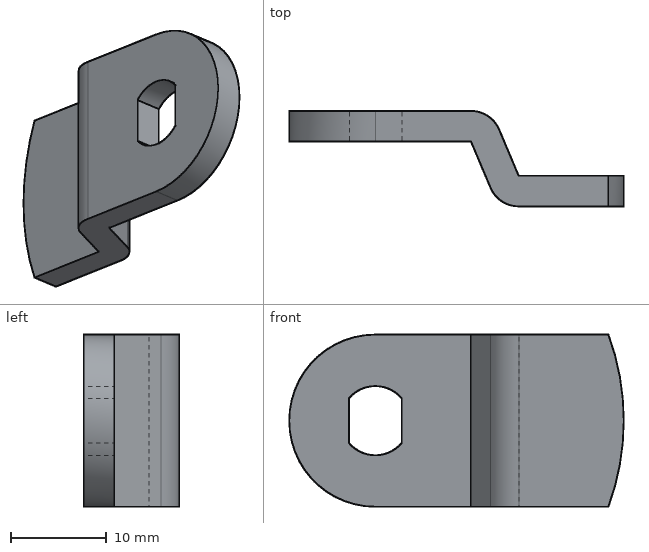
import cadquery as cq
import math

length = 34.97
depth = 10.0
width = 18.0
thickness = 3.2
rear_bend_x = 19.0
front_bend_x = 24.0
hole_diameter = 7.2
hole_flat_width = 5.5

end_radius = width / 2
pivot_x = end_radius
tip_radius = length - pivot_x
rear_inner_y = depth - thickness

corner_run = front_bend_x - rear_bend_x
corner_drop = rear_inner_y - thickness
web_tilt = math.acos(thickness / math.hypot(corner_run, corner_drop)) - math.atan2(corner_drop, corner_run)


def bend_point(angle):
    """Offset from an inside corner to its outer bend arc, at an angle from +X."""
    return thickness * math.cos(angle), thickness * math.sin(angle)


def bent_strip():
    """Z-shaped sheet profile, extruded over the full width."""
    web_x, web_y = bend_point(web_tilt)
    mid_x, mid_y = bend_point((web_tilt + math.pi / 2) / 2)
    return (
        cq.Workplane("XY")
        .workplane(offset=-width / 2)
        .moveTo(0, depth)
        .lineTo(rear_bend_x, depth)
        .threePointArc((rear_bend_x + mid_x, rear_inner_y + mid_y), (rear_bend_x + web_x, rear_inner_y + web_y))
        .lineTo(front_bend_x, thickness)
        .lineTo(length, thickness)
        .lineTo(length, 0)
        .lineTo(front_bend_x, 0)
        .threePointArc((front_bend_x - mid_x, thickness - mid_y), (front_bend_x - web_x, thickness - web_y))
        .lineTo(rear_bend_x, rear_inner_y)
        .lineTo(0, rear_inner_y)
        .close()
        .extrude(width)
    )


def face_outline():
    """Semicircular pivot end and shallow arc tip, both centred on the hole."""
    tip_edge_x = pivot_x + math.sqrt(tip_radius**2 - end_radius**2)
    return (
        cq.Workplane("XZ")
        .moveTo(pivot_x, end_radius)
        .lineTo(tip_edge_x, end_radius)
        .threePointArc((length, 0), (tip_edge_x, -end_radius))
        .lineTo(pivot_x, -end_radius)
        .threePointArc((0, 0), (pivot_x, end_radius))
        .close()
        .extrude(-depth)
    )


def double_d_hole():
    """Round cutter with two flats parallel to Z."""
    pivot = cq.Workplane("XZ").center(pivot_x, 0)
    cylinder = pivot.circle(hole_diameter / 2).extrude(-depth)
    flats = pivot.rect(hole_flat_width, hole_diameter).extrude(-depth)
    return cylinder.intersect(flats)


result = bent_strip().intersect(face_outline()).cut(double_d_hole())